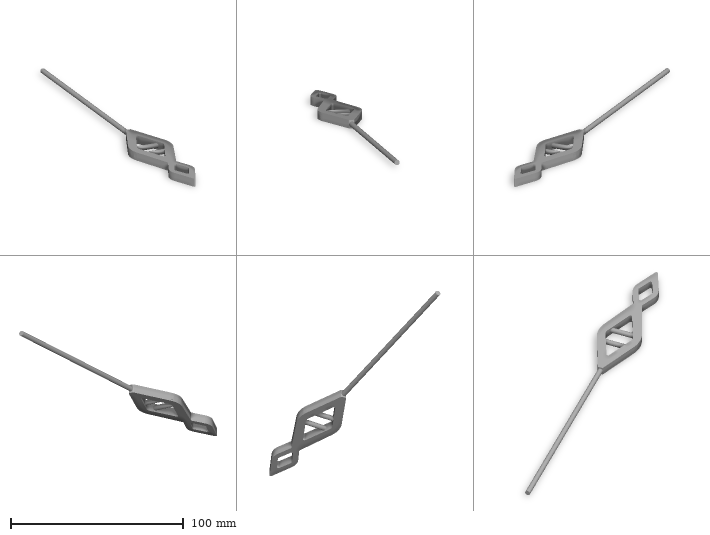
import cadquery as cq
import math

total_length = 201.5
blade_width = 25.8
blade_thickness = 5.0
rod_diameter = 3.0

heel_x = 113.3
wide_lobe_x = 143.0
waist_x = 171.5
narrow_lobe_x = 184.0

heel_half_width = 1.51
waist_half_width = 2.6
narrow_lobe_peak = 8.5
tip_half_width = 0.5

wide_lobe_radius = 15.7
narrow_lobe_radius = 9.7
heel_radius = 0.8
tip_radius = 0.5

window_end_width = 1.2
wide_window_length = 36.7
wide_window_width = 17.3
wide_window_radius = 4.0
narrow_window_length = 17.0
narrow_window_width = 9.3
narrow_window_radius = 1.6

pin_spacing = 10.5

wide_lobe_side_angle = 22.7
peak_trim = wide_lobe_radius * (1 / math.cos(math.radians(wide_lobe_side_angle)) - 1)
wide_lobe_peak = blade_width / 2 + peak_trim

selection_margin = 0.02


def vertical_edges_at(body, x, half_width):
    """Vertical edges at station x, at plus and minus half_width in Y."""
    low = (x - selection_margin, -half_width - selection_margin, -blade_thickness)
    high = (x + selection_margin, half_width + selection_margin, blade_thickness)
    return body.edges(cq.selectors.BoxSelector(low, high)).edges("|Z")


def make_blade_blank():
    """Solid two-lobed blade, symmetric about the X axis."""
    upper_side = [
        (heel_x, heel_half_width),
        (wide_lobe_x, wide_lobe_peak),
        (waist_x, waist_half_width),
        (narrow_lobe_x, narrow_lobe_peak),
        (total_length, tip_half_width),
    ]
    lower_side = [(x, -y) for x, y in reversed(upper_side)]
    blank = (
        cq.Workplane("XY")
        .polyline(upper_side + lower_side)
        .close()
        .extrude(blade_thickness / 2, both=True)
    )
    roundings = [
        (heel_x, heel_half_width, heel_radius),
        (wide_lobe_x, wide_lobe_peak, wide_lobe_radius),
        (narrow_lobe_x, narrow_lobe_peak, narrow_lobe_radius),
        (total_length, tip_half_width, tip_radius),
    ]
    for x, half_width, radius in roundings:
        blank = vertical_edges_at(blank, x, half_width).fillet(radius)
    return blank


def make_window(center_x, length, width, peak_radius):
    """Diamond cutter with blunt ends and rounded peaks, centred at center_x."""
    half_length = length / 2
    half_end = window_end_width / 2
    window = (
        cq.Workplane("XY")
        .polyline([
            (center_x - half_length, half_end),
            (center_x, width / 2),
            (center_x + half_length, half_end),
            (center_x + half_length, -half_end),
            (center_x, -width / 2),
            (center_x - half_length, -half_end),
        ])
        .close()
        .extrude(blade_thickness / 2, both=True)
    )
    return vertical_edges_at(window, center_x, width / 2).fillet(peak_radius)


def make_pin_rod(x):
    """Rod along Y that spans the full width of the blade."""
    return (
        cq.Workplane("XZ", origin=(x, 0, 0))
        .circle(rod_diameter / 2)
        .extrude(blade_width / 2, both=True)
    )


def make_cross_pin(x, blank):
    """Cross pin whose ends are flush with the blade's outer sides."""
    return make_pin_rod(x).intersect(blank)


def make_blade(blank, pin_stations):
    """Blade with both windows and the through holes for the cross pins."""
    blade = blank.cut(
        make_window(wide_lobe_x, wide_window_length, wide_window_width, wide_window_radius)
    ).cut(
        make_window(narrow_lobe_x, narrow_window_length, narrow_window_width, narrow_window_radius)
    )
    for x in pin_stations:
        blade = blade.cut(make_pin_rod(x))
    return blade


def make_shaft():
    """Round shaft that butts against the heel of the blade."""
    return cq.Workplane("YZ").circle(rod_diameter / 2).extrude(heel_x)


pin_stations = [wide_lobe_x - pin_spacing / 2, wide_lobe_x + pin_spacing / 2]
blade_blank = make_blade_blank()
blade = make_blade(blade_blank, pin_stations)
shaft = make_shaft()
cross_pins = [make_cross_pin(x, blade_blank) for x in pin_stations]

result = cq.Compound.makeCompound(
    [blade.val(), shaft.val(), *[pin.val() for pin in cross_pins]]
)